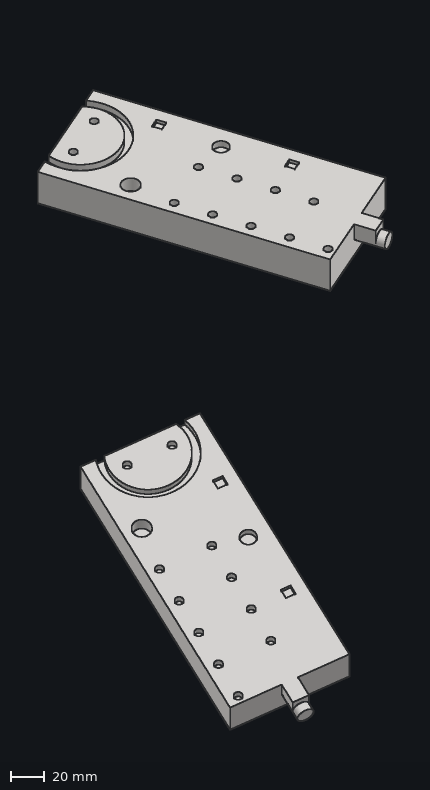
import cadquery as cq

total_length = 210.0
width = 80.0
height = 25.0
block_length = 190.0

tongue_length = 14.0
pin_diameter = 11.0
pin_axis_drop = 10.0
pin_length = total_length - block_length

groove_center_x = 9.9
groove_outer_radius = 31.3
groove_inner_radius = 26.0
groove_depth = 5.0

small_hole_diameter = 5.5
small_hole_depth = 5.0
pair_x = 12.0
pair_spacing = 30.0
row_start_x = 85.0
row_pitch = 25.0
inner_row_y = 3.2
inner_row_count = 4
outer_row_y = -32.0
outer_row_count = 5

front_hole_center = (55.0, -28.0)
front_hole_diameter = 12.2
front_hole_depth = 10.0
back_hole_center = (89.9, 25.0)
back_hole_diameter = 10.5
back_hole_depth = 5.0

square_side = 6.5
square_depth = 2.5
square_y = 28.1
square_x_positions = (48.3, 134.6)


def block():
    """Main slab, with its -X face at X = 0, centred on Y and standing on Z = 0."""
    return cq.Workplane("XY").box(block_length, width, height, centered=(False, True, False))


def tongue_with_pin():
    """Pin along X whose upper half is squared off by a tongue flush with the top."""
    pin_axis_z = height - pin_axis_drop
    pin = (
        cq.Workplane("YZ", origin=(block_length, 0, pin_axis_z))
        .circle(pin_diameter / 2)
        .extrude(pin_length)
    )
    tongue = (
        cq.Workplane("XY", origin=(block_length, 0, pin_axis_z))
        .box(tongue_length, pin_diameter, pin_axis_drop, centered=(False, True, False))
    )
    return pin.union(tongue)


def top_plane():
    return cq.Workplane("XY", origin=(0, 0, height))


def arc_groove():
    return (
        top_plane()
        .center(groove_center_x, 0)
        .circle(groove_outer_radius)
        .circle(groove_inner_radius)
        .extrude(-groove_depth)
    )


def round_holes(centers, diameter, depth):
    return top_plane().pushPoints(centers).circle(diameter / 2).extrude(-depth)


def square_pockets():
    centers = [(x, square_y) for x in square_x_positions]
    return top_plane().pushPoints(centers).rect(square_side, square_side).extrude(-square_depth)


def row_along_x(count, y):
    return [(row_start_x + i * row_pitch, y) for i in range(count)]


small_hole_centers = (
    [(pair_x, side * pair_spacing / 2) for side in (-1, 1)]
    + row_along_x(inner_row_count, inner_row_y)
    + row_along_x(outer_row_count, outer_row_y)
)

result = (
    block()
    .union(tongue_with_pin())
    .cut(arc_groove())
    .cut(round_holes(small_hole_centers, small_hole_diameter, small_hole_depth))
    .cut(round_holes([front_hole_center], front_hole_diameter, front_hole_depth))
    .cut(round_holes([back_hole_center], back_hole_diameter, back_hole_depth))
    .cut(square_pockets())
)